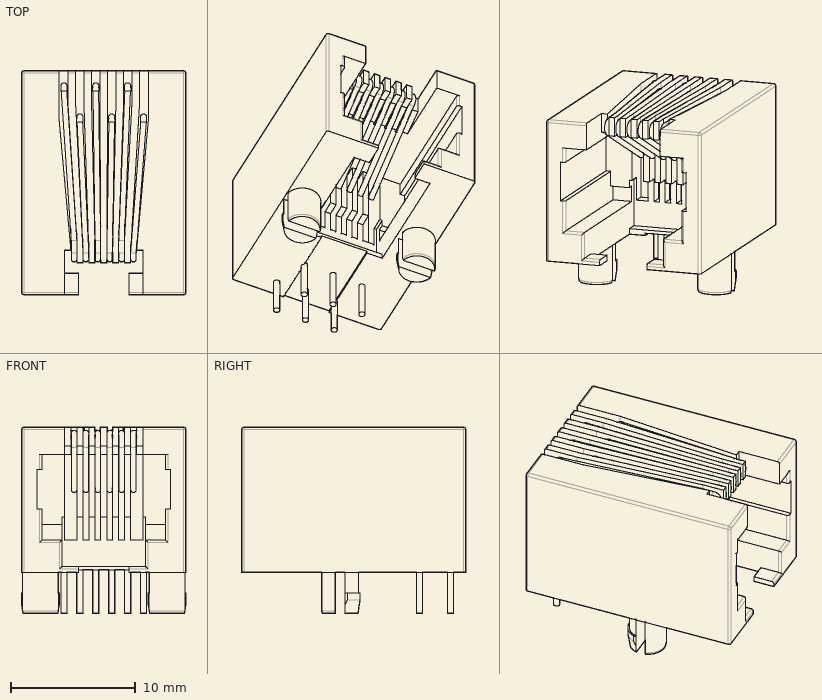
import cadquery as cq
import math


LENGTH = 18.0
WIDTH = 13.2
HEIGHT = 11.66
EDGE_RADIUS = 0.2
CUT_MARGIN = 0.18

CAVITY_HALF_WIDTH = 4.97
CAVITY_ROOF = 9.47
LEDGE_TOP = 2.6
CAVITY_DEPTH = 10.8
LATCH_HALF_WIDTH = 3.37
LATCH_FLOOR = 0.47
SIDE_RECESS_HALF_WIDTH = 5.36
SIDE_RECESS_BOTTOM = 5.08
SIDE_RECESS_TOP = 8.28

LATCH_POCKET_DEPTH = 11.88
LEDGE_POCKET_DEPTH = 11.34
LATCH_POCKET_TOP = 4.46
LEDGE_POCKET_TOP = 3.85

TAB_LENGTH = 1.75
TAB_GAP_HALF_WIDTH = 2.02
UNDERSIDE_CHANNEL_DEPTH = 0.2

WINDOW_HALF_WIDTH = 3.15
WINDOW_DEPTH = 3.56
COMB_FRONT = 2.55
COMB_BOTTOM = 10.13
RELIEF_LENGTH = 1.98
COMB_SLOT_BACK = 12.96
ROOF_SLOT_BACK = 5.76

CONTACT_COUNT = 6
TIP_PITCH = 0.95
PIN_PITCH = 1.28
COMB_SLOT_WIDTH = 0.47
COMB_HALF_WIDTH = ((CONTACT_COUNT - 1) * TIP_PITCH - COMB_SLOT_WIDTH) / 2
WIRE_DIAMETER = 0.45
PIN_DIAMETER = 0.5
WIRE_Z = 11.18
REAR_ROW_Y = 16.78
ROW_SPACING = 2.5
PIN_BEND_RADIUS = 0.4
NOSE_BEND_RADIUS = 0.5
NOSE_BEND_Y = 3.37
REAR_ROW_KINK_Y = 4.35
SPRING_ANGLE = 25.0
TIP_Z = 6.62

CHANNEL_FLOOR = WIRE_Z - PIN_BEND_RADIUS
CHANNEL_WIDTH = 0.67
CHANNEL_TAPER_BACK = 15.12
OUTER_TAPER_BACK = 14.22
OUTER_CHANNEL_EXTRA = 0.07

PEG_LENGTH = 3.3
PEG_ROOT = 0.18
PEG_DIAMETER = 2.99
PEG_Y = 7.9
PEG_SPLIT = 0.77
PEG_CHAMFER_HEIGHT = 0.2
PEG_CHAMFER_WIDTH = 0.063
BARB_RADIUS = 1.62
BARB_TOP = -1.65
BARB_TAPER_START = -2.21
BARB_TIP_RADIUS = 1.45
BARB_HALF_WIDTH = 1.51
PEG_X = WIDTH / 2 - BARB_HALF_WIDTH

UP = cq.Vector(0, 0, 1)
FORWARD = cq.Vector(0, -1, 0)


def block(half_width, y_range, z_range):
    """Box centred on X = 0."""
    y0, y1 = y_range
    z0, z1 = z_range
    box = cq.Workplane("XY").box(2 * half_width, y1 - y0, z1 - z0, centered=(True, False, False))
    return box.translate((0, y0, z0))


def contact_offset(index, pitch):
    """X of one contact in a row that is centred on X = 0."""
    return (index - (CONTACT_COUNT - 1) / 2) * pitch


def pin_y(index):
    """Even contacts stand in the rear row, odd ones in the front row."""
    return REAR_ROW_Y - (index % 2) * ROW_SPACING


def kink_y(index):
    """Where the slanting wire of a contact straightens towards the comb."""
    return NOSE_BEND_Y if index % 2 else REAR_ROW_KINK_Y



def housing_block():
    shell = block(WIDTH / 2, (0, LENGTH), (0, HEIGHT))
    return shell.edges("|Z or >Z").fillet(EDGE_RADIUS)


def cut_plug_cavity(body):
    body = body.cut(block(CAVITY_HALF_WIDTH, (-CUT_MARGIN, CAVITY_DEPTH), (LEDGE_TOP, CAVITY_ROOF)))
    body = body.cut(block(LATCH_HALF_WIDTH, (-CUT_MARGIN, CAVITY_DEPTH), (LATCH_FLOOR, LEDGE_TOP)))
    mouth = cq.selectors.BoxSelector(
        (-CAVITY_HALF_WIDTH - CUT_MARGIN, -CUT_MARGIN, LATCH_FLOOR - CUT_MARGIN),
        (CAVITY_HALF_WIDTH + CUT_MARGIN, CUT_MARGIN, CAVITY_ROOF - CUT_MARGIN),
    )
    body = body.faces("<Y").edges(mouth).fillet(EDGE_RADIUS)
    side_recess = block(
        SIDE_RECESS_HALF_WIDTH, (-CUT_MARGIN, CAVITY_DEPTH), (SIDE_RECESS_BOTTOM, SIDE_RECESS_TOP)
    )
    return body.cut(side_recess)


def cut_rear_pockets(body):
    start = CAVITY_DEPTH - CUT_MARGIN
    latch_pocket = block(LATCH_HALF_WIDTH, (start, LATCH_POCKET_DEPTH), (LATCH_FLOOR, LATCH_POCKET_TOP))
    ledge_pocket = block(CAVITY_HALF_WIDTH, (start, LEDGE_POCKET_DEPTH), (LEDGE_TOP, LEDGE_POCKET_TOP))
    return body.cut(latch_pocket).cut(ledge_pocket)


def cut_floor(body):
    through_floor = (-CUT_MARGIN, LATCH_FLOOR + CUT_MARGIN)
    body = body.cut(block(LATCH_HALF_WIDTH, (TAB_LENGTH, CAVITY_DEPTH), through_floor))
    body = body.cut(block(TAB_GAP_HALF_WIDTH, (-CUT_MARGIN, CAVITY_DEPTH), through_floor))
    channel = (-CUT_MARGIN, UNDERSIDE_CHANNEL_DEPTH)
    return body.cut(block(TAB_GAP_HALF_WIDTH, (0, LENGTH + CUT_MARGIN), channel))


def cut_contact_window(body):
    """Open the roof at the mouth, leaving the comb, and slope the roof behind the opening."""
    opening_z = (LEDGE_TOP, HEIGHT + CUT_MARGIN)
    comb_z = (COMB_BOTTOM, HEIGHT + CUT_MARGIN)
    opening = block(WINDOW_HALF_WIDTH, (-CUT_MARGIN, WINDOW_DEPTH), opening_z)
    comb = block(COMB_HALF_WIDTH, (COMB_FRONT, WINDOW_DEPTH), comb_z)
    body = body.cut(opening.cut(comb))
    relief = (
        cq.Workplane("YZ", origin=(-WINDOW_HALF_WIDTH, 0, 0))
        .moveTo(WINDOW_DEPTH, COMB_BOTTOM)
        .lineTo(WINDOW_DEPTH + RELIEF_LENGTH, CAVITY_ROOF)
        .lineTo(WINDOW_DEPTH, CAVITY_ROOF)
        .close()
        .extrude(2 * WINDOW_HALF_WIDTH)
    )
    return body.cut(relief)


def cut_comb_slots(body):
    """Slots for the contact springs, through the roof at the front and into the rear wall."""
    half_width = COMB_SLOT_WIDTH / 2
    wall_depth = (CAVITY_DEPTH, COMB_SLOT_BACK)
    wall_z = (LEDGE_TOP, CAVITY_ROOF)
    roof_slot = block(half_width, (0, ROOF_SLOT_BACK), (LEDGE_TOP, CHANNEL_FLOOR))
    wall_slot = block(half_width, wall_depth, wall_z)
    for index in range(CONTACT_COUNT):
        offset = (contact_offset(index, TIP_PITCH), 0, 0)
        body = body.cut(roof_slot.translate(offset)).cut(wall_slot.translate(offset))
    side_slot = block((WINDOW_HALF_WIDTH - COMB_HALF_WIDTH) / 2, wall_depth, wall_z)
    side_slot_x = (WINDOW_HALF_WIDTH + COMB_HALF_WIDTH) / 2
    for side in (-1, 1):
        body = body.cut(side_slot.translate((side * side_slot_x, 0, 0)))
    return body


def channel_side(index, side):
    """Points along the left (-1) or right (+1) side of a wire channel, from front to back."""
    front_x = contact_offset(index, TIP_PITCH) + side * COMB_SLOT_WIDTH / 2
    back_x = contact_offset(index, PIN_PITCH) + side * CHANNEL_WIDTH / 2
    taper_front, taper_back = kink_y(index), CHANNEL_TAPER_BACK
    if (index, side) in ((0, -1), (CONTACT_COUNT - 1, 1)):
        back_x += side * OUTER_CHANNEL_EXTRA
        taper_front, taper_back = NOSE_BEND_Y, OUTER_TAPER_BACK
    return [(front_x, 0), (front_x, taper_front), (back_x, taper_back), (back_x, LENGTH + CUT_MARGIN)]


def cut_wire_channels(body):
    """Channels in the top face that fan out and widen from the comb to the pins."""
    for index in range(CONTACT_COUNT):
        outline = channel_side(index, -1) + channel_side(index, 1)[::-1]
        channel = cq.Workplane("XY", origin=(0, 0, CHANNEL_FLOOR)).polyline(outline).close().extrude(HEIGHT)
        body = body.cut(channel)
    return body


def cut_pin_holes(body):
    for index in range(CONTACT_COUNT):
        hole = (
            cq.Workplane("XY", origin=(contact_offset(index, PIN_PITCH), pin_y(index), -CUT_MARGIN))
            .circle(PIN_DIAMETER / 2)
            .extrude(CHANNEL_FLOOR + 2 * CUT_MARGIN)
        )
        body = body.cut(hole)
    return body


def turned(profile):
    """Solid of revolution about the Z axis from the outer (radius, z) points of its half section."""
    outline = [(0, profile[0][1]), *profile, (0, profile[-1][1])]
    return cq.Workplane("XZ").polyline(outline).close().revolve(360, (0, 0), (0, 1))


def mounting_peg_halves():
    """Split peg about the Z axis: plain half towards the mouth, barbed half behind."""
    radius = PEG_DIAMETER / 2
    front = turned([
        (radius, PEG_ROOT),
        (radius, -PEG_LENGTH + PEG_CHAMFER_HEIGHT),
        (radius - PEG_CHAMFER_WIDTH, -PEG_LENGTH),
    ])
    back = turned([
        (radius, PEG_ROOT),
        (radius, BARB_TOP),
        (BARB_RADIUS, BARB_TOP),
        (BARB_RADIUS, BARB_TAPER_START),
        (BARB_TIP_RADIUS, -PEG_LENGTH),
    ])
    full_height = (-PEG_LENGTH, PEG_ROOT)
    front = front.intersect(block(PEG_DIAMETER, (-PEG_DIAMETER, -PEG_SPLIT / 2), full_height))
    back = back.intersect(block(BARB_HALF_WIDTH, (PEG_SPLIT / 2, PEG_DIAMETER), full_height))
    return front, back


def make_housing():
    body = housing_block()
    body = cut_plug_cavity(body)
    body = cut_rear_pockets(body)
    body = cut_floor(body)
    body = cut_contact_window(body)
    body = cut_comb_slots(body)
    body = cut_wire_channels(body)
    body = cut_pin_holes(body)
    for side in (-1, 1):
        for half in mounting_peg_halves():
            body = body.union(half.translate((side * PEG_X, PEG_Y, 0)))
    return body.solids().val()



def swept_wire(edges, diameter):
    """Round wire along a smooth chain of edges."""
    path = cq.Wire.assembleEdges(edges)
    section = cq.Plane(origin=edges[0].positionAt(0), normal=edges[0].tangentAt(0))
    return cq.Workplane(section).circle(diameter / 2).sweep(cq.Workplane(path))


def make_pin(foot):
    """Solder pin with a quarter bend towards the mouth."""
    bend_start = cq.Vector(foot.x, foot.y, WIRE_Z - PIN_BEND_RADIUS)
    bend_centre = bend_start + FORWARD * PIN_BEND_RADIUS
    bend_mid = bend_centre + (UP - FORWARD) * (PIN_BEND_RADIUS * math.sqrt(0.5))
    bend_end = bend_centre + UP * PIN_BEND_RADIUS
    straight = cq.Edge.makeLine(foot, bend_start)
    bend = cq.Edge.makeThreePointArc(bend_start, bend_mid, bend_end)
    return swept_wire([straight, bend], PIN_DIAMETER)


def make_slanted_wire(start, end):
    """Oblique prism, so that its round ends lie square to the Y axis."""
    section = cq.Wire.makeCircle(WIRE_DIAMETER / 2, start, FORWARD)
    return cq.Workplane(cq.Solid.extrudeLinear(section, [], end - start))


def make_spring(start):
    """Straight lead-in, nose bend over the comb and spring that reaches back into the cavity."""
    slope = math.radians(SPRING_ANGLE)
    half_turn = (math.pi - slope) / 2
    centre = cq.Vector(start.x, NOSE_BEND_Y, WIRE_Z - NOSE_BEND_RADIUS)
    nose_start = centre + UP * NOSE_BEND_RADIUS
    nose_mid = centre + cq.Vector(0, -math.sin(half_turn), math.cos(half_turn)) * NOSE_BEND_RADIUS
    nose_end = centre - cq.Vector(0, math.sin(slope), math.cos(slope)) * NOSE_BEND_RADIUS
    tip = cq.Vector(start.x, nose_end.y + (nose_end.z - TIP_Z) / math.tan(slope), TIP_Z)
    edges = [
        cq.Edge.makeThreePointArc(nose_start, nose_mid, nose_end),
        cq.Edge.makeLine(nose_end, tip),
    ]
    if start.y > NOSE_BEND_Y:
        edges.insert(0, cq.Edge.makeLine(start, nose_start))
    return swept_wire(edges, WIRE_DIAMETER)


def make_contact(index):
    foot = cq.Vector(contact_offset(index, PIN_PITCH), pin_y(index), -PEG_LENGTH)
    wire_start = cq.Vector(foot.x, foot.y - PIN_BEND_RADIUS, WIRE_Z)
    kink = cq.Vector(contact_offset(index, TIP_PITCH), kink_y(index), WIRE_Z)
    contact = make_pin(foot).union(make_slanted_wire(wire_start, kink)).union(make_spring(kink))
    return contact.solids().val()


housing = make_housing()
contacts = [make_contact(index) for index in range(CONTACT_COUNT)]

result = cq.Compound.makeCompound([housing, *contacts])